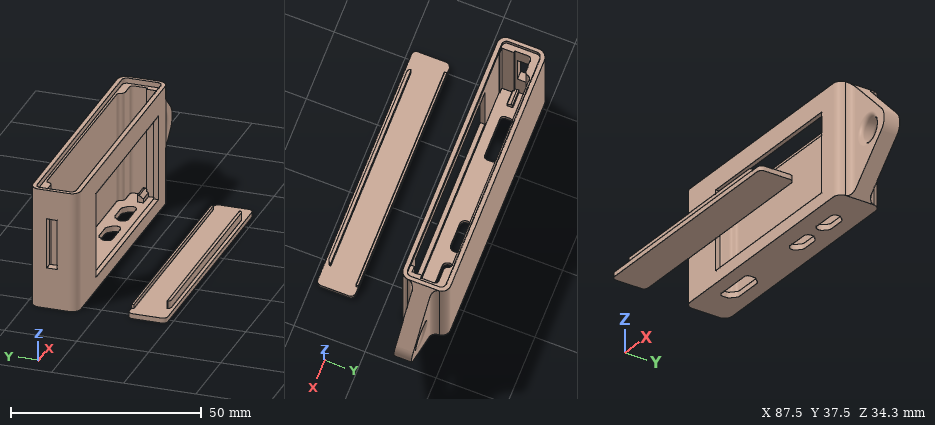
import cadquery as cq
import math

housing_length = 72.35
housing_depth = 13.42
housing_height = 34.34
housing_corner_radius = 2.5
floor_thickness = 1.7

left_x = -housing_length / 2
right_x = housing_length / 2
front_y = -housing_depth / 2
back_y = housing_depth / 2

overall_depth = 37.46
lid_length = 69.95
lid_center_x = 0.15
lid_depth = 10.76
lid_thickness = 1.5
lid_corner_radius = 1.4
lid_front_y = back_y - overall_depth
lid_back_y = lid_front_y + lid_depth

back_rail_length = 63.7
back_rail_width = 0.7
back_rail_height = 1.1
front_rail_length = 57.9
front_rail_width = 0.85
front_rail_height = 2.15
front_rail_setback = 1.0
front_rail_end_radius = 1.15
front_rail_end_rise = 0.65

seat_length = 70.2
seat_depth = 10.8
seat_level = housing_height - lid_thickness

cavity_left_x = left_x + 2.4
cavity_right_x = right_x - 2.1
cavity_shoulder_y = back_y - 3.65
cavity_back_y = back_y - 1.95
cavity_front_y = front_y + 1.35
cavity_corner_radius = 1.0
back_step_radius = 1.12
back_step_inset = 7.48
front_recess_left_x = left_x + 2.9
front_recess_right_x = right_x - 2.9
front_recess_back_y = front_y + 5.05

left_post_end_x = left_x + 4.35
left_post_back_y = front_y + 1.58
right_post_end_x = right_x - 4.47
right_post_back_y = front_y + 2.37

stop_reach = 6.93
stop_root = 1.0
stop_back_y = back_y - 7.2
stop_front_y = back_y - 8.85
stop_height = 2.0
stop_bevel_depth = 1.15
stop_bevel_height = 0.9

window_left_x = left_x + 14.6
window_right_x = left_x + 64.35
window_bottom = 3.85
window_top = 28.17

slot_front_y = back_y - 7.64
slot_back_y = back_y - 4.74
slot_bottom = 11.75
slot_top = 26.0

port_back_y = back_y - 4.43
large_port = dict(center_x=left_x + 16.4, width=12.9, depth=4.78, bevel=1.95, round_radius=1.1)
small_port = dict(width=9.15, depth=3.95, bevel=1.75, round_radius=1.5)
small_port_centers_x = [left_x + 45.25, left_x + 57.85]

overall_length = 87.54
lug_thickness = 5.0
lug_flare_radius = 2.0
lug_hole_diameter = 7.1
lug_hole_round = 1.2
lug_hole_x = left_x + 79.95
lug_mid_z = housing_height / 2
lug_tip_x = left_x + overall_length
lug_sharp_tip_x = right_x + housing_height / 2
lug_tip_radius = (lug_sharp_tip_x - lug_tip_x) / (math.sqrt(2) - 1)


def block(x_range, y_range, z_range):
    """Axis-aligned box between the given limits."""
    (x0, x1), (y0, y1), (z0, z1) = x_range, y_range, z_range
    return cq.Workplane("XY").box(x1 - x0, y1 - y0, z1 - z0, centered=False).translate((x0, y0, z0))


def rounded_plate(length, depth, height, radius):
    """Plate centred on X and Y with rounded vertical corners, sitting on Z = 0."""
    return cq.Workplane("XY").rect(length, depth).extrude(height).edges("|Z").fillet(radius)


def main_cavity():
    """Space above the floor: a back recess with S-shaped ends, a wide middle and a narrower front."""
    height = housing_height - floor_thickness
    step = cavity_back_y - cavity_shoulder_y
    sweep = math.acos(1 - step / (2 * back_step_radius))
    half_run = back_step_radius * math.sin(sweep)
    arc_run = back_step_radius * math.sin(sweep / 2)
    arc_rise = back_step_radius * (1 - math.cos(sweep / 2))
    middle_y = (cavity_back_y + cavity_shoulder_y) / 2
    left_step_x = left_x + back_step_inset
    right_step_x = right_x - back_step_inset
    rear = (
        cq.Workplane("XY")
        .workplane(offset=floor_thickness)
        .moveTo(cavity_left_x, front_recess_back_y)
        .lineTo(cavity_left_x, cavity_shoulder_y)
        .lineTo(left_step_x - half_run, cavity_shoulder_y)
        .threePointArc(
            (left_step_x - half_run + arc_run, cavity_shoulder_y + arc_rise),
            (left_step_x, middle_y),
        )
        .threePointArc(
            (left_step_x + half_run - arc_run, cavity_back_y - arc_rise),
            (left_step_x + half_run, cavity_back_y),
        )
        .lineTo(right_step_x - half_run, cavity_back_y)
        .threePointArc(
            (right_step_x - half_run + arc_run, cavity_back_y - arc_rise),
            (right_step_x, middle_y),
        )
        .threePointArc(
            (right_step_x + half_run - arc_run, cavity_shoulder_y + arc_rise),
            (right_step_x + half_run, cavity_shoulder_y),
        )
        .lineTo(cavity_right_x, cavity_shoulder_y)
        .lineTo(cavity_right_x, front_recess_back_y)
        .close()
        .extrude(height)
    )
    for side in ["<X", ">X"]:
        rear = rear.faces(side).edges("|Z and >Y").fillet(cavity_corner_radius)
    front = block(
        (front_recess_left_x, front_recess_right_x),
        (cavity_front_y, front_recess_back_y),
        (floor_thickness, housing_height),
    )
    left_post = block(
        (front_recess_left_x, left_post_end_x),
        (cavity_front_y, left_post_back_y),
        (floor_thickness, housing_height),
    )
    right_post = block(
        (right_post_end_x, front_recess_right_x),
        (cavity_front_y, right_post_back_y),
        (floor_thickness, housing_height),
    )
    return rear.union(front.cut(left_post).cut(right_post))


def floor_port(center_x, width, depth, bevel, round_radius):
    """Connector opening with bevelled back corners, rounded all around."""
    x0 = center_x - width / 2
    x1 = center_x + width / 2
    y0 = port_back_y - depth
    return (
        cq.Workplane("XY")
        .moveTo(x0, y0)
        .lineTo(x1, y0)
        .lineTo(x1, port_back_y - bevel)
        .lineTo(x1 - bevel, port_back_y)
        .lineTo(x0 + bevel, port_back_y)
        .lineTo(x0, port_back_y - bevel)
        .close()
        .extrude(floor_thickness)
        .edges("|Z")
        .fillet(round_radius)
    )


def board_stop(wall_x, end_x):
    """Wedge on the floor between an end wall and end_x, bevelled towards the front."""
    top = floor_thickness + stop_height
    return (
        cq.Workplane("YZ", origin=(wall_x, 0, 0))
        .moveTo(stop_back_y, floor_thickness)
        .lineTo(stop_back_y, top)
        .lineTo(stop_front_y + stop_bevel_depth, top)
        .lineTo(stop_front_y, top - stop_bevel_height)
        .lineTo(stop_front_y, floor_thickness)
        .close()
        .extrude(end_x - wall_x)
    )


def lug():
    """Pointed key-ring lug that flares into the right end of the housing."""
    half = lug_thickness / 2
    flared_half = half + lug_flare_radius
    flare_x = right_x + lug_flare_radius
    root_x = right_x - lug_flare_radius / 2
    diagonal = lug_flare_radius * (1 - math.sqrt(0.5))
    section = (
        cq.Workplane("XY")
        .moveTo(root_x, -flared_half)
        .lineTo(right_x, -flared_half)
        .threePointArc((right_x + diagonal, -half - diagonal), (flare_x, -half))
        .lineTo(lug_sharp_tip_x, -half)
        .lineTo(lug_sharp_tip_x, half)
        .lineTo(flare_x, half)
        .threePointArc((right_x + diagonal, half + diagonal), (right_x, flared_half))
        .lineTo(root_x, flared_half)
        .close()
        .extrude(housing_height)
    )
    tip = (
        cq.Workplane("XZ", origin=(0, flared_half, 0))
        .moveTo(root_x, 0)
        .lineTo(right_x, 0)
        .lineTo(lug_sharp_tip_x, lug_mid_z)
        .lineTo(right_x, housing_height)
        .lineTo(root_x, housing_height)
        .close()
        .extrude(2 * flared_half)
        .edges("|Y and >X")
        .fillet(lug_tip_radius)
    )
    return section.intersect(tip)


def lug_hole():
    """Cutter for the ring hole, with rounded-over rims on both faces."""
    half = lug_thickness / 2
    radius = lug_hole_diameter / 2
    rim = radius + lug_hole_round
    diagonal = lug_hole_round * (1 - math.sqrt(0.5))
    return (
        cq.Workplane("XY")
        .moveTo(0, -half)
        .lineTo(rim, -half)
        .threePointArc((radius + diagonal, -half + diagonal), (radius, -half + lug_hole_round))
        .lineTo(radius, half - lug_hole_round)
        .threePointArc((radius + diagonal, half - diagonal), (rim, half))
        .lineTo(0, half)
        .close()
        .revolve(360, (0, 0, 0), (0, 1, 0))
        .translate((lug_hole_x, 0, lug_mid_z))
    )


def make_housing():
    body = rounded_plate(housing_length, housing_depth, housing_height, housing_corner_radius)
    body = body.union(lug()).cut(lug_hole())
    body = body.cut(main_cavity())
    seat = rounded_plate(seat_length, seat_depth, lid_thickness, lid_corner_radius)
    body = body.cut(seat.translate((0, 0, seat_level)))
    body = body.cut(
        block((window_left_x, window_right_x), (front_y, cavity_front_y), (window_bottom, window_top))
    )
    body = body.cut(
        block((left_x, cavity_left_x), (slot_front_y, slot_back_y), (slot_bottom, slot_top))
    )
    body = body.cut(floor_port(**large_port))
    for center_x in small_port_centers_x:
        body = body.cut(floor_port(center_x, **small_port))
    body = body.union(board_stop(left_x + stop_root, left_x + stop_reach))
    body = body.union(board_stop(right_x - stop_reach, right_x - stop_root))
    return body


def make_front_rail():
    """Straight rail with its front face on Y = 0, curving back to a short flat at each end."""
    end_x = front_rail_length / 2
    sweep = math.acos(1 - front_rail_end_rise / front_rail_end_radius)
    tangent_x = end_x - front_rail_end_radius * math.sin(sweep)
    mid_arc_x = tangent_x + front_rail_end_radius * math.sin(sweep / 2)
    mid_arc_y = front_rail_end_radius * (1 - math.cos(sweep / 2))
    return (
        cq.Workplane("XY")
        .moveTo(-tangent_x, 0)
        .lineTo(tangent_x, 0)
        .threePointArc((mid_arc_x, mid_arc_y), (end_x, front_rail_end_rise))
        .lineTo(end_x, front_rail_width)
        .lineTo(-end_x, front_rail_width)
        .lineTo(-end_x, front_rail_end_rise)
        .threePointArc((-mid_arc_x, mid_arc_y), (-tangent_x, 0))
        .close()
        .extrude(front_rail_height)
    )


def make_lid():
    plate = rounded_plate(lid_length, lid_depth, lid_thickness, lid_corner_radius)
    half = lid_depth / 2
    back_rail = block(
        (-back_rail_length / 2, back_rail_length / 2),
        (half - back_rail_width, half),
        (lid_thickness, lid_thickness + back_rail_height),
    )
    front_rail = make_front_rail().translate((0, -half + front_rail_setback, lid_thickness))
    lid = plate.union(back_rail).union(front_rail)
    return lid.translate((lid_center_x, (lid_front_y + lid_back_y) / 2, 0))


housing = make_housing()
lid = make_lid()
result = cq.Compound.makeCompound([housing.val(), lid.val()])